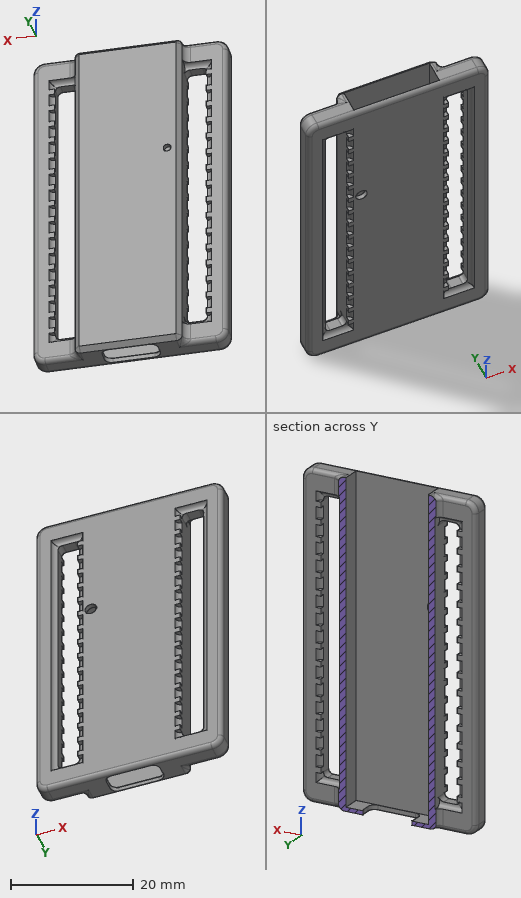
import cadquery as cq
width = 32.7
height = 59.0
depth = 5.6
plate_depth = 3.55
plate_corner_radius = 2.0
plate_rim_radius = 0.8

back_half_width = 9.0
back_corner_radius = 0.9
back_chamfer = 0.8
back_blend_radius = 1.2

cavity_wall = 0.8
cavity_width = 15.35
cavity_depth = depth - 2 * cavity_wall
floor_thickness = cavity_wall
port_width = 9.4
port_depth = 3.8
port_corner_radius = 1.2

slot_inner_x = back_half_width
slot_outer_x = 12.75
slot_end_z = 24.85
flare = 0.9
slot_corner_radius = 0.8

tooth_count = 16
tooth_pitch = 3.1
tooth_height = 1.0

hole_x = -6.65
hole_z = 8.15
front_hole_diameter = 2.0
back_hole_diameter = 1.3

overcut = 0.6
margin = 0.05


def box(x_range, y_range, z_range):
    """Axis-aligned block between the given limits."""
    limits = (x_range, y_range, z_range)
    sizes = [high - low for low, high in limits]
    corner = tuple(low for low, high in limits)
    return cq.Workplane("XY").box(*sizes, centered=False).translate(corner)


def make_plate():
    """Flat plate with rounded corners and rounded front and back rims."""
    plate = box((-width / 2, width / 2), (0, plate_depth), (-height / 2, height / 2))
    plate = plate.edges("|Y").fillet(plate_corner_radius)
    return plate.faces("<Y or >Y").edges().fillet(plate_rim_radius)


def make_back():
    """Raised back, rooted inside the plate."""
    x_range = (-back_half_width, back_half_width)
    back = box(x_range, (plate_depth / 2, depth), (-height / 2, height / 2))
    back = back.edges("|Y").fillet(back_corner_radius)
    return back.faces(">Y").edges().chamfer(back_chamfer)


def blend_back(shell):
    """Round the inside corner between the plate and each side of the raised back."""
    for side_x in (-back_half_width, back_half_width):
        low = (side_x - margin, plate_depth - margin, -margin)
        high = (side_x + margin, plate_depth + margin, margin)
        shell = shell.edges(cq.selectors.BoxSelector(low, high)).fillet(back_blend_radius)
    return shell


def make_slot_cutter():
    """Slot on the +X side: side flares and end flares meet in rounded mitres."""
    side_prism = (
        cq.Workplane("XY", origin=(0, 0, -height / 2))
        .moveTo(slot_inner_x - flare, 0)
        .radiusArc((slot_inner_x, flare), flare)
        .lineTo(slot_inner_x, depth + overcut)
        .lineTo(slot_outer_x + flare, depth + overcut)
        .lineTo(slot_outer_x + flare, plate_depth)
        .radiusArc((slot_outer_x, plate_depth - flare), flare)
        .lineTo(slot_outer_x, flare)
        .radiusArc((slot_outer_x + flare, 0), flare)
        .close()
        .extrude(height)
    )
    mouth_z = slot_end_z + flare
    end_prism = (
        cq.Workplane("YZ")
        .moveTo(0, -mouth_z)
        .radiusArc((flare, -slot_end_z), -flare)
        .lineTo(plate_depth - flare, -slot_end_z)
        .radiusArc((plate_depth, -mouth_z), -flare)
        .lineTo(depth + overcut, -mouth_z)
        .lineTo(depth + overcut, mouth_z)
        .lineTo(plate_depth, mouth_z)
        .radiusArc((plate_depth - flare, slot_end_z), -flare)
        .lineTo(flare, slot_end_z)
        .radiusArc((0, mouth_z), -flare)
        .close()
        .extrude(width / 2)
    )
    cutter = side_prism.intersect(end_prism)
    low = (0, flare / 2, -slot_end_z - margin)
    high = (slot_outer_x + margin, plate_depth - flare / 2, slot_end_z + margin)
    corners = cutter.edges("|Y").edges(cq.selectors.BoxSelector(low, high))
    return cq.Workplane(corners.fillet(slot_corner_radius).val().fix())


def make_teeth():
    """Teeth of the +X slot: front ones on its inner side, back ones on its outer side."""
    teeth = []
    for index in range(tooth_count):
        middle_z = (index - (tooth_count - 1) / 2) * tooth_pitch
        z_range = (middle_z - tooth_height / 2, middle_z + tooth_height / 2)
        teeth.append(box((slot_inner_x - flare, slot_inner_x), (0, flare), z_range))
        outer_x_range = (slot_outer_x, slot_outer_x + flare)
        teeth.append(box(outer_x_range, (plate_depth - flare, plate_depth), z_range))
    return teeth


def make_cavity():
    """Board cavity, open at the top."""
    x_range = (-cavity_width / 2, cavity_width / 2)
    y_range = (cavity_wall, cavity_wall + cavity_depth)
    return box(x_range, y_range, (-height / 2 + floor_thickness, height / 2 + overcut))


def make_port():
    """Rounded cable port through the cavity floor."""
    return (
        cq.Workplane("XY", origin=(0, depth / 2, -height / 2 - overcut))
        .rect(port_width, port_depth)
        .extrude(floor_thickness + 2 * overcut)
        .edges("|Z")
        .fillet(port_corner_radius)
    )


def make_wall_hole(diameter, start_y):
    """Round cutter that runs from start_y toward the front for half the depth."""
    return (
        cq.Workplane("XZ", origin=(hole_x, start_y, hole_z))
        .circle(diameter / 2)
        .extrude(depth / 2 + overcut)
    )


def make_housing():
    """Plate and raised back with the slots, teeth, cavity, port and holes."""
    housing = blend_back(make_plate().union(make_back()))
    slot = make_slot_cutter()
    housing = housing.cut(slot).cut(slot.mirror("YZ"))
    for tooth in make_teeth():
        housing = housing.union(tooth).union(tooth.mirror("YZ"))
    housing = housing.cut(make_cavity()).cut(make_port())
    housing = housing.cut(make_wall_hole(front_hole_diameter, depth / 2))
    return housing.cut(make_wall_hole(back_hole_diameter, depth + overcut))


housing = make_housing()

result = cq.Compound.makeCompound([housing.val()])